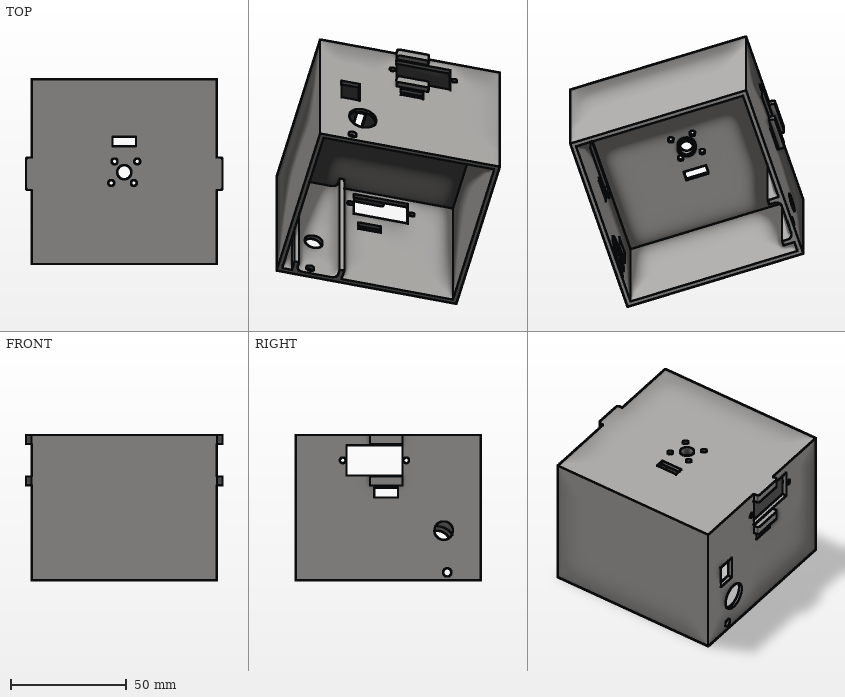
import cadquery as cq

overall_width = 85.0
box_side = 80.0
box_height = 63.0
wall = 2.0

tab_width = 14.1
tab_height = 4.0
tab_center_y = -0.9
tab_corner_radius = 0.9
lower_tab_drop = 17.9

window_width = 24.1
window_height = 13.0
window_center_y = -5.95
window_center_z = 51.9
servo_screw_diameter = 2.4
servo_screw_spacing = 27.45

slot_width = 10.1
side_slot_center_y = -0.9
side_slot_height = 4.1
side_slot_center_z = 38.0
top_slot_depth = 4.0
top_slot_center_y = 13.0

switch_width = 8.2
switch_height = 11.0
switch_center_y = 26.4
switch_center_z = 32.5
port_diameter = 12.0
port_center_y = 21.0
port_center_z = 15.5
port_seat_diameter = 16.0
port_seat_depth = 0.5
jack_diameter = 8.0
jack_center_y = 24.0
jack_center_z = 21.6
corner_hole_diameter = 3.5
corner_hole_center_y = 25.5
corner_hole_center_z = 3.5

shaft_diameter = 6.0
shaft_center_y = -0.25
collar_diameter = 8.0
collar_length = 2.4
top_screw_diameter = 2.5
top_screw_offset_y = 4.7
top_screw_near_x = 4.2
top_screw_far_x = 5.6

channel_width = 18.0
channel_center_y = 22.6
channel_corner_radius = 2.5
channel_depth = 2 * channel_corner_radius

inner_side = box_side - 2 * wall
inner_height = box_height - wall
outer_face = box_side / 2
inner_face = inner_side / 2
left_wall_x = -(outer_face + inner_face) / 2
right_wall_x = -left_wall_x
top_wall_z = box_height - wall / 2
cut_through_wall = 2 * wall


def block(size, center):
    """Box of the given X, Y, Z size about a centre point."""
    return cq.Workplane("XY").box(*size).translate(center)


def x_rod(diameter, x, y, z):
    """Cylinder along X centred at x, long enough to pass through a wall."""
    rod = cq.Workplane("YZ").circle(diameter / 2).extrude(cut_through_wall)
    return rod.translate((x - cut_through_wall / 2, y, z))


def z_rod(diameter, length, x, y):
    """Cylinder along Z that hangs down from the top face."""
    rod = cq.Workplane("XY").circle(diameter / 2).extrude(-length)
    return rod.translate((x, y, box_height))


def make_shell():
    outer = cq.Workplane("XY").box(box_side, box_side, box_height, centered=(True, True, False))
    cavity = cq.Workplane("XY").box(inner_side, inner_side, inner_height, centered=(True, True, False))
    return outer.cut(cavity)


def make_tab_pair(top_z):
    """Tabs on both X sides at one level, rounded at their outer corners and kept out of the box."""
    center = (0, tab_center_y, top_z - tab_height / 2)
    bar = block((overall_width, tab_width, tab_height), center)
    bar = bar.edges("|Z").fillet(tab_corner_radius)
    return bar.cut(block((inner_side + wall, tab_width, tab_height), center))


def make_channel():
    """Two ribs on the +X wall whose roots flow into the wall, forming an open channel."""
    center = (inner_face - channel_depth / 2, channel_center_y, inner_height / 2)
    ribs = block((channel_depth, channel_width + 2 * wall, inner_height), center)
    groove = block((channel_depth, channel_width, inner_height), center)
    groove = groove.edges("|Z and >X").fillet(channel_corner_radius)
    return ribs.cut(groove)


def cut_servo_mount(body, x):
    """Servo window, screw holes, cable slot and corner hole in one X wall."""
    window_center = (x, window_center_y, window_center_z)
    body = body.cut(block((cut_through_wall, window_width, window_height), window_center))
    for side in (-1, 1):
        screw_y = window_center_y + side * servo_screw_spacing / 2
        body = body.cut(x_rod(servo_screw_diameter, x, screw_y, window_center_z))
    slot_center = (x, side_slot_center_y, side_slot_center_z)
    body = body.cut(block((cut_through_wall, slot_width, side_slot_height), slot_center))
    return body.cut(x_rod(corner_hole_diameter, x, corner_hole_center_y, corner_hole_center_z))


def cut_left_openings(body):
    """Switch cutout and cable port in the -X wall; the port has a shallow round seat inside."""
    switch_center = (left_wall_x, switch_center_y, switch_center_z)
    body = body.cut(block((cut_through_wall, switch_width, switch_height), switch_center))
    body = body.cut(x_rod(port_diameter, left_wall_x, port_center_y, port_center_z))
    seat_x = -inner_face - port_seat_depth + cut_through_wall / 2
    return body.cut(x_rod(port_seat_diameter, seat_x, port_center_y, port_center_z))


def finish_top(body):
    """Cable slot, shaft hole with its collar, and screw holes in the top wall."""
    slot_center = (0, top_slot_center_y, top_wall_z)
    body = body.cut(block((slot_width, top_slot_depth, cut_through_wall), slot_center))
    shaft_length = wall + collar_length
    body = body.union(z_rod(collar_diameter, shaft_length, 0, shaft_center_y))
    body = body.cut(z_rod(shaft_diameter, shaft_length, 0, shaft_center_y))
    for side in (-1, 1):
        screw_y = shaft_center_y + side * top_screw_offset_y
        for screw_x in (side * top_screw_far_x, -side * top_screw_near_x):
            body = body.cut(z_rod(top_screw_diameter, wall, screw_x, screw_y))
    return body


result = make_shell().union(make_channel())
for tab_top_z in (box_height, box_height - lower_tab_drop):
    result = result.union(make_tab_pair(tab_top_z))

for wall_x in (left_wall_x, right_wall_x):
    result = cut_servo_mount(result, wall_x)

result = cut_left_openings(result)
result = result.cut(x_rod(jack_diameter, right_wall_x, jack_center_y, jack_center_z))
result = finish_top(result)